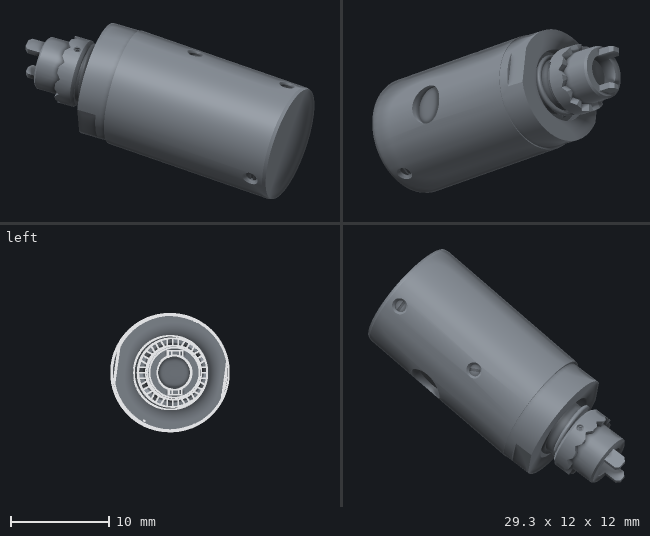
import cadquery as cq


BODY_D = 12.0
BODY_REAR_X = 20.4
BODY_FRONT_U = 1.9
REAR_BEVEL_LENGTH = 0.35
REAR_BEVEL_DEPTH = 0.1

SCREW_HOLE_D = 1.22
SCREW_SINK_D = 1.7
SCREW_HEAD_DEPTH = 0.45
SCREW_SLOT_WIDTH = 0.3
SCREW_SLOT_DEPTH = 0.2
REAR_SCREW_X = BODY_REAR_X - 1.7
REAR_SCREW_ANGLES = (60, 180, 300)
FRONT_SCREW_X = BODY_REAR_X - 12.0
FRONT_SCREW_ANGLE = 60
FRONT_SLOT_TURN = -60
WINDOW_D = 4.0
WINDOW_X = BODY_REAR_X - 8.0
WINDOW_DEPTH = 1.0

HEAD_TILT = 3.7
CAP_D = 11.7
CAP_FACE_U = -1.16
CAP_RECESS_D = 7.5
CAP_RECESS_DEPTH = 1.2
FLAT_WIDTH = 11.04
FLAT_LENGTH = 2.0
FLAT_TURN = 8.0
NECK_D = 5.55
COLLAR_D = 5.8
COLLAR_REAR_U = -2.07

RING_D = 7.0
RING_FRONT_U = -4.53
RING_REAR_U = -2.53
RING_CHAMFER = 0.3
NOTCH_COUNT = 12
NOTCH_WIDTH = 1.13
NOTCH_DEPTH = 0.45
PIN_HOLE_D = 0.6
PIN_HOLE_DEPTH = 0.25
PIN_SINK_D = 0.8
PIN_SOCKET_D = 0.4
PIN_SOCKET_DEPTH = 0.15
PIN_HOLE_U = -3.36

SPRING_WIRE_D = 0.54
SPRING_D = 6.58
SPRING_PITCH = 1.6
SPRING_TURNS = 1.6
SPRING_START_U = -2.46
SPRING_START_ANGLE = 25

TUBE_D = 5.5
TUBE_FRONT_U = -7.12
TUBE_CHAMFER = 0.2
BORE_D = 3.5
BORE_DEPTH = 1.5
PRONG_TIP_U = -8.87
UPPER_PRONG_WIDTH = 1.5
LOWER_PRONG_WIDTH = 1.3
PRONG_OUTER_Z = 2.25
PRONG_CHAMFER = 0.33


def cylinder(diameter, start, end):
    """Round bar along X between two stations."""
    return cq.Workplane("YZ", origin=(start, 0, 0)).circle(diameter / 2).extrude(end - start)


def tilt(shape):
    """Turn a head shape from the X axis onto the head axis."""
    return shape.rotate((0, 0, 0), (0, 0, 1), HEAD_TILT)


def make_body():
    radius = BODY_D / 2
    bar = (
        cq.Workplane("XY")
        .moveTo(0, 0)
        .lineTo(0, radius)
        .lineTo(BODY_REAR_X - REAR_BEVEL_LENGTH, radius)
        .lineTo(BODY_REAR_X, radius - REAR_BEVEL_DEPTH)
        .lineTo(BODY_REAR_X, 0)
        .close()
        .revolve(360, (0, 0, 0), (1, 0, 0))
    )
    front_waste = tilt(cylinder(2 * BODY_D, -BODY_D, BODY_FRONT_U))
    window = (
        cq.Workplane("XZ", origin=(WINDOW_X, radius, 0))
        .circle(WINDOW_D / 2)
        .extrude(WINDOW_DEPTH)
    )
    return bar.cut(front_waste).cut(window)


def screw_cutter(x, angle, slot_turn):
    """Countersunk hole down to a slotted screw head, turned about X from +Y."""
    surface = BODY_D / 2
    sink_depth = (SCREW_SINK_D - SCREW_HOLE_D) / 2
    head = surface - SCREW_HEAD_DEPTH
    profile = (
        cq.Workplane("XY")
        .moveTo(0, head)
        .lineTo(SCREW_HOLE_D / 2, head)
        .lineTo(SCREW_HOLE_D / 2, surface - sink_depth)
        .lineTo(SCREW_SINK_D / 2, surface)
        .lineTo(SCREW_SINK_D / 2, surface + sink_depth)
        .lineTo(0, surface + sink_depth)
        .close()
    )
    hole = profile.revolve(360, (0, 0, 0), (0, 1, 0))
    slot_cylinder = (
        cq.Workplane("XZ", origin=(0, head, 0))
        .circle(SCREW_HOLE_D / 2)
        .extrude(SCREW_SLOT_DEPTH)
    )
    slot_bar = (
        cq.Workplane("XZ", origin=(0, head, 0))
        .rect(SCREW_SLOT_WIDTH, SCREW_HOLE_D)
        .extrude(SCREW_SLOT_DEPTH)
        .rotate((0, 0, 0), (0, 1, 0), slot_turn)
    )
    cutter = hole.union(slot_cylinder.intersect(slot_bar))
    return cutter.rotate((0, 0, 0), (1, 0, 0), angle).translate((x, 0, 0))


def make_cap():
    cap = cylinder(CAP_D, CAP_FACE_U, BODY_FRONT_U)
    flat_u = CAP_FACE_U + FLAT_LENGTH / 2
    flat_waste = cq.Workplane("XY").box(FLAT_LENGTH, CAP_D, CAP_D)
    for side in (-1, 1):
        y = side * (FLAT_WIDTH + CAP_D) / 2
        cap = cap.cut(
            flat_waste.translate((flat_u, y, 0)).rotate((0, 0, 0), (1, 0, 0), FLAT_TURN)
        )
    return cap.cut(cylinder(CAP_RECESS_D, CAP_FACE_U, CAP_FACE_U + CAP_RECESS_DEPTH))


def make_ring():
    ring = cylinder(RING_D, RING_FRONT_U, RING_REAR_U).faces(">X").edges().chamfer(RING_CHAMFER)
    notch = (
        cq.Workplane("XY")
        .moveTo(RING_FRONT_U, -NOTCH_WIDTH / 2)
        .lineTo(RING_FRONT_U + NOTCH_DEPTH, 0)
        .lineTo(RING_FRONT_U, NOTCH_WIDTH / 2)
        .close()
        .extrude(RING_D)
    )
    for i in range(NOTCH_COUNT):
        ring = ring.cut(notch.rotate((0, 0, 0), (1, 0, 0), i * 360 / NOTCH_COUNT))
    sink_depth = (PIN_SINK_D - PIN_HOLE_D) / 2
    pin_hole = (
        cq.Workplane("XY", origin=(PIN_HOLE_U, 0, RING_D / 2 - PIN_HOLE_DEPTH))
        .circle(PIN_HOLE_D / 2)
        .extrude(PIN_HOLE_DEPTH)
    )
    pin_sink = (
        cq.Workplane("XY", origin=(PIN_HOLE_U, 0, RING_D / 2 - sink_depth))
        .circle(PIN_HOLE_D / 2)
        .workplane(offset=sink_depth)
        .circle(PIN_SINK_D / 2)
        .loft()
    )
    pin_socket = (
        cq.Workplane("XY", origin=(PIN_HOLE_U, 0, RING_D / 2 - PIN_HOLE_DEPTH - PIN_SOCKET_DEPTH))
        .circle(PIN_SOCKET_D / 2)
        .extrude(PIN_SOCKET_DEPTH)
    )
    return ring.cut(pin_hole).cut(pin_sink).cut(pin_socket)


def make_spring():
    """Right-hand coil starting against the toothed ring, its wire lightly sunk in the neck."""
    coil_radius = (SPRING_D - SPRING_WIRE_D) / 2
    helix = cq.Wire.makeHelix(SPRING_PITCH, SPRING_PITCH * SPRING_TURNS, coil_radius)
    coil = (
        cq.Workplane("XZ", origin=(coil_radius, 0, 0))
        .circle(SPRING_WIRE_D / 2)
        .sweep(cq.Workplane(helix), isFrenet=True)
    )
    neck_frame = cq.Plane(origin=(SPRING_START_U, 0, 0), xDir=(0, 1, 0), normal=(1, 0, 0))
    placed = cq.Workplane(coil.val().moved(cq.Location(neck_frame)))
    return placed.rotate((0, 0, 0), (1, 0, 0), SPRING_START_ANGLE)


def make_tube():
    tube = cylinder(TUBE_D, TUBE_FRONT_U, RING_REAR_U).faces("<X").edges().chamfer(TUBE_CHAMFER)
    return tube.cut(cylinder(BORE_D, TUBE_FRONT_U, TUBE_FRONT_U + BORE_DEPTH))


def make_prong(width):
    """Drive prong above the axis whose inner side continues the bore."""
    length = TUBE_FRONT_U - PRONG_TIP_U
    blade = (
        cq.Workplane("XY")
        .box(length, width, PRONG_OUTER_Z, centered=(False, True, False))
        .edges("<X and |Z")
        .chamfer(PRONG_CHAMFER)
        .translate((PRONG_TIP_U, 0, 0))
    )
    return blade.cut(cylinder(BORE_D, PRONG_TIP_U, TUBE_FRONT_U))


def make_head():
    neck = cylinder(NECK_D, RING_REAR_U, BODY_FRONT_U)
    collar = cylinder(COLLAR_D, RING_REAR_U, COLLAR_REAR_U)
    upper_prong = make_prong(UPPER_PRONG_WIDTH)
    lower_prong = make_prong(LOWER_PRONG_WIDTH).rotate((0, 0, 0), (1, 0, 0), 180)
    head = make_cap().union(neck).union(collar).union(make_spring())
    head = head.union(make_ring()).union(make_tube())
    return head.union(upper_prong).union(lower_prong)


result = make_body()
for screw_angle in REAR_SCREW_ANGLES:
    result = result.cut(screw_cutter(REAR_SCREW_X, screw_angle, 0))
result = result.cut(screw_cutter(FRONT_SCREW_X, FRONT_SCREW_ANGLE, FRONT_SLOT_TURN))
result = result.union(tilt(make_head()))